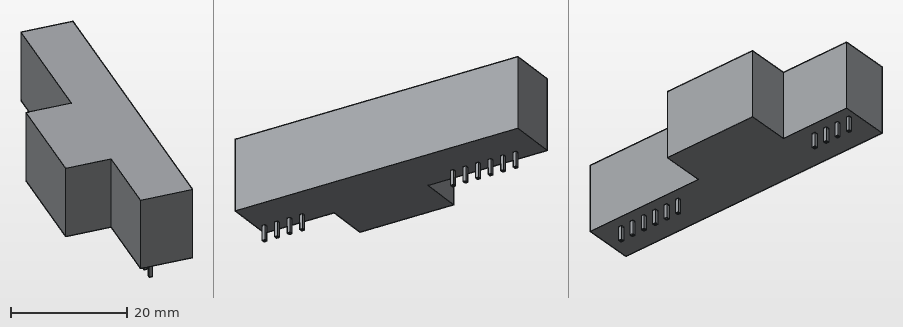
import cadquery as cq

bar_length = 57.3
bar_depth = 9.6
housing_height = 14.0
block_offset = 24.2
block_width = 19.0
block_depth = 8.35

pin_width = 0.65
pin_length = 3.05
pin_tip_chamfer = 0.145
right_group_span = 7.6
left_pin_count = 6
right_pin_count = 4
pin_pitch = right_group_span / (right_pin_count - 1)
first_left_pin = 5.0
last_right_pin = 1.45
pin_row_y = bar_depth - 7.3


def make_housing():
    bar = cq.Workplane("XY").box(bar_length, bar_depth, housing_height, centered=False)
    block = (
        cq.Workplane("XY")
        .box(block_width, block_depth, housing_height, centered=False)
        .translate((block_offset, -block_depth, 0))
    )
    return bar.union(block)


def make_pins(first_x, count):
    centres = [(first_x + i * pin_pitch, pin_row_y) for i in range(count)]
    return (
        cq.Workplane("XY")
        .pushPoints(centres)
        .rect(pin_width, pin_width)
        .extrude(-pin_length)
        .faces("<Z")
        .chamfer(pin_tip_chamfer)
    )


first_right_pin = bar_length - last_right_pin - right_group_span

result = (
    make_housing()
    .union(make_pins(first_left_pin, left_pin_count))
    .union(make_pins(first_right_pin, right_pin_count))
)